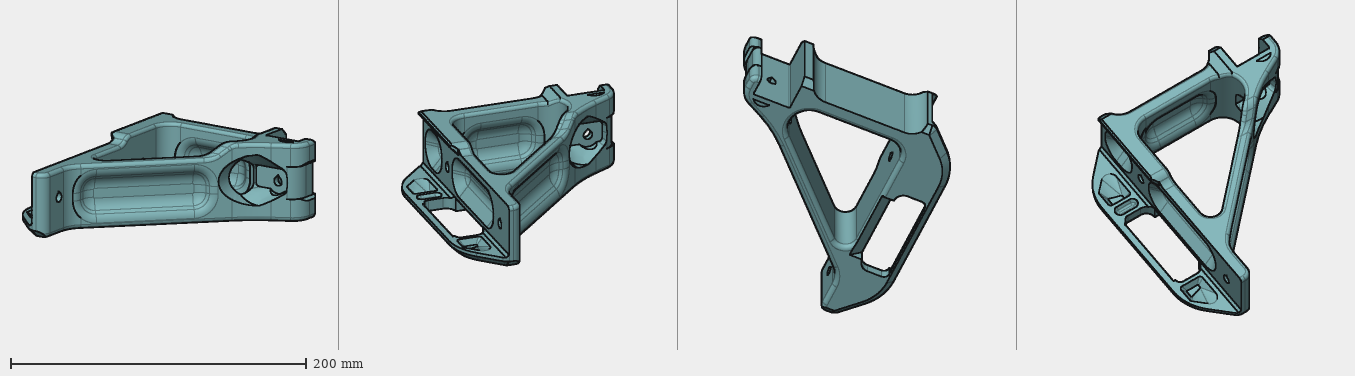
import cadquery as cq
import math

LENGTH = 157.21
DEPTH = 165.1
HEIGHT = 54.86

WALL_X = 28.1
WALL_THICKNESS = 10.0
WALL_END_RADIUS = 7.0
WALL_INNER_X = WALL_X + WALL_THICKNESS
LIP_X = 23.5
LIP_EDGE = 1.2
LIP_END_Y = 97.0
LIP_END_CHAMFER = 4.0
LIP_ROOT_Z = 43.6

LOW_TOP = 45.45
MID_TOP = 50.7
RAMP_RADIUS = 8.8
WALL_RAMP_Y = 90.6
STRUT_RAMP_Y = 97.8
BEAM_RAMP_START = 110.7
BEAM_RAMP_END = 117.7
FRAME_MIDDLE_X = 80.0
CORNER_Y = 125.0

BEAM_INNER_Y = 144.5
BEAM_OUTER_Y = 155.0
STRUT_OUTER_OFFSET = 7.6
STRUT_INNER_OFFSET = -4.8
STRUT_FOOT_RADIUS = 18.0
STRUT_HOOK_RADIUS = 89.0
OPENING_FOOT_RADIUS = 8.1
OPENING_HOOK_RADIUS = 15.0
OPENING_WALL_RADIUS = 12.0
HOOK_EAR_LEFT = 116.4
HOOK_EAR_RADIUS = 1.5
WALL_EAR_RIGHT = 31.5
EAR_SPREAD = 3.4
EAR_FOOT_RADIUS = 13.5

NOTCH_LEFT = 123.2
NOTCH_RIGHT = 150.2
NOTCH_FLOOR_Y = 140.7
NOTCH_RADIUS = 0.6
HOOK_TIP_RADIUS = 4.8
HOOK_TOP_Y = 154.0
HOOK_SLOPE = math.tan(math.radians(28.0))
HOOK_CORNER_Y = 135.2
HOOK_CORNER_RADIUS = 13.6
HOOK_GROOVE_DEPTH = 2.1
HOOK_GROOVE_HEIGHT = 22.8

FLANGE_THICKNESS = 8.0
FLANGE_BEVEL = 5.3
FLANGE_CORNER_RADIUS = 35.0
FLANGE_TIP_X = 25.8
FLANGE_TIP_RADIUS = 5.5
FLANGE_OVERLAP = 2.0
FLANGE_FILLET_LEG = 2.0

INNER_EDGE_RADIUS = 2.4
OUTER_EDGE_RADIUS = 2.8
END_BEVEL = 5.0
BEAM_EDGE_RADIUS = 1.6
BOTTOM_EDGE_RADIUS = 3.4

TOUCH_MARGIN = 0.5
TOUCH_TOLERANCE = 1e-4

CUT_MARGIN = 1.0

CUTTER_RISE = 6.0
WALL_POCKETS = ((69.8, 79.0), (145.0, 31.7))
WALL_POCKET_WIDTH = 28.0
WALL_POCKET_Z = 26.7
BEAM_POCKET_LENGTH = 62.0
BEAM_POCKET_X = 77.0
STRUT_POCKET_LENGTH = 100.0
STRUT_POCKET_X = 74.9
FRAME_POCKET_WIDTH = 37.8
STRUT_POCKET_Z = 22.9
BEAM_POCKET_Z = 23.8

ACCESS_FLOOR_Y = 136.0
ACCESS_ENTRY = 40.0
ACCESS_FLOOR_LENGTH = 28.2
ACCESS_FLOOR_HEIGHT = 15.0
ACCESS_FLOOR_RADIUS = 2.5
ACCESS_FLOOR_X = 132.6
ACCESS_FLOOR_Z = 27.1
ACCESS_MOUTH_Y = 121.0
ACCESS_MOUTH_X = 130.6
ACCESS_MOUTH_Z = 28.8
ACCESS_MOUTH_LENGTH = 40.2
ACCESS_MOUTH_HEIGHT = 35.6
SCREW_HEAD_RADIUS = 8.6

SLOT_LEFT = 6.6
SLOT_LEAN = 1.5
SLOT_CORNER = 4.0
SLOT_WALL_CORNER = 7.0
SLOT_START = 43.2
SLOT_END = 109.1
UNDERCUT_TOP = 9.4
UNDERCUT_START = SLOT_START + SLOT_WALL_CORNER
UNDERCUT_END = SLOT_END - SLOT_WALL_CORNER
FLANGE_POCKET_LEFT = 5.1
FLANGE_POCKET_RIGHT = 22.8
FLANGE_POCKET_DEPTH = 4.5
FLANGE_POCKET_INSET = 4.1
POINTED_POCKET_CORNER = 2.0
POINTED_POCKET_TIP = 5.5
FLOOR_CORNER = 0.5
FLOOR_START = 2.5
FLOOR_RIGHT_SIDE = 3.0
FLOOR_LEFT_SIDE = 6.0
POINTED_POCKET_SIDE = 13.3
POINTED_POCKETS = ((122.2, 1), (40.3, -1))
SMALL_POCKET_Y = 115.6
SMALL_POCKET_WIDTH = 7.6

INSERT_RADIUS = 7.2
INSERT_X = 142.6
INSERT_CENTRE_Y = 141.1
INSERT_FLAT_Y = 137.0
INSERT_DEPTH = 3.0

HOLE_RADIUS = 3.1
HOLE_Z = 25.6
WALL_HOLE_YS = (17.7, 118.7)
HOOK_HOLE_X = 136.5


def rounded_outline(corners):
    """Closed wire through (x, y, radius) corners, each corner rounded by a tangent arc."""
    count = len(corners)
    stops = []
    for i in range(count):
        x, y, radius = corners[i]
        corner = cq.Vector(x, y)
        to_last = (cq.Vector(*corners[i - 1][:2]) - corner).normalized()
        to_next = (cq.Vector(*corners[(i + 1) % count][:2]) - corner).normalized()
        half_angle = to_last.getAngle(to_next) / 2
        if radius == 0:
            stops.append((corner, None, corner))
            continue
        setback = radius / math.tan(half_angle)
        bisector = (to_last + to_next).normalized()
        middle = corner + bisector * (radius / math.sin(half_angle) - radius)
        stops.append((corner + to_last * setback, middle, corner + to_next * setback))
    sketch = cq.Workplane("XY").moveTo(*stops[0][2].toTuple()[:2])
    for start, middle, end in stops[1:] + stops[:1]:
        sketch = sketch.lineTo(*start.toTuple()[:2])
        if middle is not None:
            sketch = sketch.threePointArc(middle.toTuple()[:2], end.toTuple()[:2])
    return sketch.wire()


def box(x0, x1, y0, y1, z0, z1):
    """Box between two opposite corners."""
    return cq.Workplane("XY").box(x1 - x0, y1 - y0, z1 - z0, centered=False).translate((x0, y0, z0))


def dished_pocket(length, width, corner_radius, slope, floor_radius, mouth_radius, depth):
    """Pocket cutter below z = 0, long in X, with sloped walls, a round floor edge and a round mouth."""
    sine = math.sin(math.radians(slope))
    cosine = math.cos(math.radians(slope))
    mouth_run = mouth_radius * sine
    mouth_drop = mouth_radius * (1 - cosine)
    floor_run = floor_radius * sine
    floor_drop = floor_radius * (1 - cosine)
    wall_drop = depth - mouth_drop - floor_drop
    wall_run = wall_drop * cosine / sine
    half_sine = math.sin(math.radians(slope / 2))
    half_cosine = math.cos(math.radians(slope / 2))

    def section(reach):
        """Half section from the centre line out to the mouth, `reach` + corner radius wide."""
        edge = reach + corner_radius
        wall_top = edge - mouth_run
        wall_bottom = wall_top - wall_run
        floor_edge = wall_bottom - floor_run
        sketch = cq.Workplane("XZ").moveTo(0, CUTTER_RISE).lineTo(edge, CUTTER_RISE).lineTo(edge, 0)
        if mouth_radius > 0:
            sketch = sketch.threePointArc(
                (edge - mouth_radius * half_sine, -mouth_radius * (1 - half_cosine)),
                (wall_top, -mouth_drop),
            )
        sketch = sketch.lineTo(wall_bottom, -mouth_drop - wall_drop)
        sketch = sketch.threePointArc(
            (floor_edge + floor_radius * half_sine, -depth + floor_radius * (1 - half_cosine)),
            (floor_edge, -depth),
        )
        return sketch.lineTo(0, -depth).close()

    x_reach = length / 2 - corner_radius
    y_reach = width / 2 - corner_radius
    bowl = section(0).revolve(360, (0, 0), (0, 1))
    cutter = None
    for x_sign in (-1, 1):
        for y_sign in (-1, 1):
            corner = bowl.translate((x_sign * x_reach, y_sign * y_reach, 0))
            cutter = corner if cutter is None else cutter.union(corner)
    if y_reach > 0:
        side = section(x_reach).extrude(y_reach, both=True)
        cutter = cutter.union(side).union(side.mirror("YZ"))
    if x_reach > 0:
        side = section(y_reach).extrude(x_reach, both=True).rotate((0, 0, 0), (0, 0, 1), 90)
        cutter = cutter.union(side).union(side.mirror("XZ"))
    return cutter


def frame_plan(right=LENGTH):
    """Outline of the frame, with the outer side of the hook at `right`."""
    strut_hook_x = (HOOK_CORNER_Y - HOOK_SLOPE * LENGTH + STRUT_OUTER_OFFSET) / (1 - HOOK_SLOPE)
    hook_corner_y = HOOK_CORNER_Y - HOOK_SLOPE * (LENGTH - right)
    return rounded_outline([
        (WALL_X, 0, 0),
        (WALL_INNER_X, 0, WALL_END_RADIUS),
        (WALL_INNER_X, WALL_INNER_X - STRUT_OUTER_OFFSET, STRUT_FOOT_RADIUS),
        (strut_hook_x, strut_hook_x - STRUT_OUTER_OFFSET, STRUT_HOOK_RADIUS),
        (right, hook_corner_y, HOOK_CORNER_RADIUS),
        (right, HOOK_TOP_Y, HOOK_TIP_RADIUS),
        (NOTCH_RIGHT, HOOK_TOP_Y, 0),
        (NOTCH_RIGHT, NOTCH_FLOOR_Y, NOTCH_RADIUS),
        (NOTCH_LEFT, NOTCH_FLOOR_Y, NOTCH_RADIUS),
        (NOTCH_LEFT, DEPTH, 0),
        (HOOK_EAR_LEFT, DEPTH, HOOK_EAR_RADIUS),
        (HOOK_EAR_LEFT - EAR_SPREAD, BEAM_OUTER_Y, EAR_FOOT_RADIUS),
        (WALL_EAR_RIGHT + EAR_SPREAD, BEAM_OUTER_Y, EAR_FOOT_RADIUS),
        (WALL_EAR_RIGHT, DEPTH, 0),
        (WALL_X, DEPTH, 0),
    ])


def opening_plan():
    return rounded_outline([
        (WALL_INNER_X, WALL_INNER_X - STRUT_INNER_OFFSET, OPENING_FOOT_RADIUS),
        (BEAM_INNER_Y + STRUT_INNER_OFFSET, BEAM_INNER_Y, OPENING_HOOK_RADIUS),
        (WALL_INNER_X, BEAM_INNER_Y, OPENING_WALL_RADIUS),
    ])


def ramp_cutter(start_y, low, high, x0, x1):
    """Removes what lies above a smooth 45 degree ramp that rises along Y from `low` to `high`."""
    step = RAMP_RADIUS * math.sqrt(0.5)
    drop = RAMP_RADIUS - step
    half_step = RAMP_RADIUS * math.sin(math.pi / 8)
    half_drop = RAMP_RADIUS * (1 - math.cos(math.pi / 8))
    straight = high - low - 2 * drop
    end_y = start_y + 2 * step + straight
    above = HEIGHT + CUTTER_RISE
    return (
        cq.Workplane("YZ").workplane(offset=x0)
        .moveTo(-CUTTER_RISE, above).lineTo(-CUTTER_RISE, low).lineTo(start_y, low)
        .threePointArc((start_y + half_step, low + half_drop), (start_y + step, low + drop))
        .lineTo(end_y - step, high - drop)
        .threePointArc((end_y - half_step, high - half_drop), (end_y, high))
        .lineTo(DEPTH + CUTTER_RISE, high).lineTo(DEPTH + CUTTER_RISE, above).close()
        .extrude(x1 - x0)
    )


def beam_ramp_cutter():
    """Lowers the beam and slopes its top up to the hook."""
    above = HEIGHT + CUTTER_RISE
    return (
        cq.Workplane("XZ").workplane(offset=-DEPTH - CUTTER_RISE)
        .moveTo(FRAME_MIDDLE_X, MID_TOP).lineTo(BEAM_RAMP_START, MID_TOP)
        .lineTo(BEAM_RAMP_END, HEIGHT).lineTo(BEAM_RAMP_END, above)
        .lineTo(FRAME_MIDDLE_X, above).close()
        .extrude(DEPTH + CUTTER_RISE - CORNER_Y)
    )


def touching(workplane, solid, low, high):
    """Edges of the workplane between two levels that lie on the solid and are not vertical."""
    def wanted(edge):
        middle = edge.positionAt(0.5)
        upright = abs(edge.tangentAt(0.5).z) > 0.99
        on_solid = solid.distance(cq.Vertex.makeVertex(*middle.toTuple())) < TOUCH_TOLERANCE
        return on_solid and not upright and low <= middle.z <= high

    return workplane.edges().filter(wanted)


def strut_side_space():
    """Empty space beside the frame, from the wall end along the strut and around the hook."""
    margin = 20
    space = box(WALL_X + TOUCH_MARGIN, LENGTH + margin, -margin, HOOK_TOP_Y - HOOK_TIP_RADIUS, 0, HEIGHT)
    space = space.cut(box(0, NOTCH_RIGHT, NOTCH_FLOOR_Y - TOUCH_MARGIN, DEPTH, 0, HEIGHT))
    return space.cut(frame_plan().extrude(HEIGHT)).cut(opening_plan().extrude(HEIGHT))


def beam_side_space():
    """Empty space behind the beam, between the two ears."""
    space = box(WALL_INNER_X, HOOK_EAR_LEFT - EAR_SPREAD, BEAM_OUTER_Y - TOUCH_MARGIN, DEPTH, 0, HEIGHT)
    return space.cut(frame_plan().extrude(HEIGHT))


def make_frame():
    opening = opening_plan().extrude(HEIGHT)
    frame = frame_plan().extrude(HEIGHT).cut(opening)
    frame = frame.cut(ramp_cutter(WALL_RAMP_Y, LOW_TOP, MID_TOP, 0, FRAME_MIDDLE_X))
    frame = frame.cut(ramp_cutter(STRUT_RAMP_Y, LOW_TOP, HEIGHT, FRAME_MIDDLE_X, LENGTH))
    frame = frame.cut(beam_ramp_cutter())
    frame = touching(frame, opening.val(), LOW_TOP, HEIGHT).fillet(INNER_EDGE_RADIUS)
    strut_side = strut_side_space().val()
    frame = touching(frame, strut_side, LOW_TOP, HEIGHT).fillet(OUTER_EDGE_RADIUS)
    frame = touching(frame, strut_side, 0, 0).fillet(BOTTOM_EDGE_RADIUS)
    frame = touching(frame, opening.val(), 0, 0).fillet(BOTTOM_EDGE_RADIUS)
    return touching(frame, beam_side_space().val(), LOW_TOP, HEIGHT).fillet(BEAM_EDGE_RADIUS)


def flange_plan():
    inner_x = WALL_X + FLANGE_OVERLAP
    left_corner = FLANGE_TIP_X
    return rounded_outline([
        (0, left_corner, FLANGE_CORNER_RADIUS),
        (FLANGE_TIP_X, 0, FLANGE_TIP_RADIUS),
        (inner_x, 0, 0),
        (inner_x, DEPTH, 0),
        (FLANGE_TIP_X, DEPTH, FLANGE_TIP_RADIUS),
        (0, DEPTH - left_corner, FLANGE_CORNER_RADIUS),
    ])


def pointed_pocket(start_y, direction):
    """Pocket with a rounded 45 degree point, whose bottom ramps up from a small floor to the point."""
    side_y = start_y + direction * POINTED_POCKET_SIDE
    tip_y = side_y + direction * (FLANGE_POCKET_RIGHT - FLANGE_POCKET_LEFT)
    floor_left = FLANGE_POCKET_LEFT + FLANGE_POCKET_INSET
    floor_right = FLANGE_POCKET_RIGHT - FLANGE_POCKET_INSET
    floor_start = start_y + direction * FLOOR_START
    mouth = rounded_outline([
        (FLANGE_POCKET_LEFT, start_y, POINTED_POCKET_CORNER),
        (FLANGE_POCKET_RIGHT, start_y, POINTED_POCKET_CORNER),
        (FLANGE_POCKET_RIGHT, tip_y, POINTED_POCKET_TIP),
        (FLANGE_POCKET_LEFT, side_y, POINTED_POCKET_CORNER),
    ])
    floor = rounded_outline([
        (floor_left, floor_start, FLOOR_CORNER),
        (floor_right, floor_start, FLOOR_CORNER),
        (floor_right, floor_start + direction * FLOOR_RIGHT_SIDE, FLOOR_CORNER),
        (floor_left, floor_start + direction * FLOOR_LEFT_SIDE, FLOOR_CORNER),
    ])
    floor_wire = floor.val().translate(cq.Vector(0, 0, FLANGE_THICKNESS - FLANGE_POCKET_DEPTH))
    mouth_wire = mouth.val().translate(cq.Vector(0, 0, FLANGE_THICKNESS))
    return cq.Workplane(cq.Solid.makeLoft([floor_wire, mouth_wire], True))


def small_pocket():
    length = FLANGE_POCKET_RIGHT - FLANGE_POCKET_LEFT
    cutter = dished_pocket(
        length, SMALL_POCKET_WIDTH, corner_radius=3.7, slope=55, floor_radius=2, mouth_radius=0, depth=2.8
    )
    return cutter.translate((FLANGE_POCKET_LEFT + length / 2, SMALL_POCKET_Y, FLANGE_THICKNESS))


def slot_cutter():
    """Slot between the flange rim and the wall, with a leaning rim side."""
    slot = rounded_outline([
        (SLOT_LEFT, SLOT_START, SLOT_CORNER),
        (WALL_X, SLOT_START, SLOT_WALL_CORNER),
        (WALL_X, SLOT_END, SLOT_WALL_CORNER),
        (SLOT_LEFT, SLOT_END, SLOT_CORNER),
    ]).extrude(FLANGE_THICKNESS + FLANGE_FILLET_LEG)
    lean = (
        cq.Workplane("XZ").workplane(offset=SLOT_CORNER - SLOT_END)
        .moveTo(SLOT_LEFT, 0).lineTo(SLOT_LEFT + CUT_MARGIN, 0).lineTo(SLOT_LEFT + CUT_MARGIN, FLANGE_THICKNESS)
        .lineTo(SLOT_LEFT - SLOT_LEAN, FLANGE_THICKNESS).close()
        .extrude(SLOT_END - SLOT_START - 2 * SLOT_CORNER)
    )
    return slot.union(lean)


def make_flange():
    flange = flange_plan().extrude(FLANGE_THICKNESS)
    flange = flange.faces("<Z").edges("not >X").chamfer(FLANGE_BEVEL)
    corner = (
        cq.Workplane("XZ").workplane(offset=-DEPTH)
        .moveTo(WALL_X, FLANGE_THICKNESS)
        .lineTo(WALL_X - FLANGE_FILLET_LEG, FLANGE_THICKNESS)
        .lineTo(WALL_X, FLANGE_THICKNESS + FLANGE_FILLET_LEG).close()
        .extrude(DEPTH)
    )
    flange = flange.union(corner.intersect(flange_plan().extrude(HEIGHT)))
    for start_y, direction in POINTED_POCKETS:
        flange = flange.cut(pointed_pocket(start_y, direction))
    return flange.cut(small_pocket()).cut(slot_cutter())


def make_lip():
    reach = WALL_X - LIP_X
    lip = (
        cq.Workplane("XZ").workplane(offset=-DEPTH)
        .moveTo(WALL_X, LIP_ROOT_Z).lineTo(LIP_X, LIP_ROOT_Z + reach).lineTo(LIP_X, MID_TOP - LIP_EDGE)
        .lineTo(LIP_X + LIP_EDGE, MID_TOP).lineTo(WALL_X, MID_TOP).close()
        .extrude(DEPTH - LIP_END_Y)
    )
    end_corner = (
        cq.Workplane("XY").moveTo(LIP_X, LIP_END_Y).lineTo(LIP_X + LIP_END_CHAMFER, LIP_END_Y)
        .lineTo(LIP_X, LIP_END_Y + LIP_END_CHAMFER).close()
        .extrude(HEIGHT)
    )
    lip = lip.cut(end_corner).intersect(flange_plan().extrude(HEIGHT))
    return lip.cut(ramp_cutter(WALL_RAMP_Y, LOW_TOP, MID_TOP, 0, FRAME_MIDDLE_X))


def slot_undercut():
    """Hollows the foot of the wall at 45 degrees above the slot."""
    return (
        cq.Workplane("XZ").workplane(offset=-UNDERCUT_END)
        .moveTo(WALL_X - CUT_MARGIN, 0).lineTo(WALL_X - CUT_MARGIN, UNDERCUT_TOP).lineTo(WALL_X, UNDERCUT_TOP)
        .lineTo(WALL_X + UNDERCUT_TOP, 0).close()
        .extrude(UNDERCUT_END - UNDERCUT_START)
    )


def wall_pocket(centre_y, length):
    cutter = dished_pocket(
        length, WALL_POCKET_WIDTH, corner_radius=13, slope=40, floor_radius=8, mouth_radius=0, depth=8.2
    )
    cutter = cutter.rotate((0, 0, 0), (0, 0, 1), 90).rotate((0, 0, 0), (0, 1, 0), -90)
    return cutter.translate((WALL_X, centre_y, WALL_POCKET_Z))


def frame_pocket(length):
    """Round-mouthed pocket cutter that opens towards -Y."""
    cutter = dished_pocket(
        length, FRAME_POCKET_WIDTH, corner_radius=16.2, slope=45, floor_radius=11, mouth_radius=8, depth=7.6
    )
    return cutter.rotate((0, 0, 0), (1, 0, 0), 90)


def beam_pocket():
    return frame_pocket(BEAM_POCKET_LENGTH).translate((BEAM_POCKET_X, BEAM_INNER_Y, BEAM_POCKET_Z))


def strut_pocket():
    cutter = frame_pocket(STRUT_POCKET_LENGTH).rotate((0, 0, 0), (0, 0, 1), 45)
    return cutter.translate((STRUT_POCKET_X, STRUT_POCKET_X - STRUT_OUTER_OFFSET, STRUT_POCKET_Z))


def teardrop(length):
    """Hole cutter along +X whose roof comes to a point at the top."""
    side = HOLE_RADIUS * math.sqrt(0.5)
    round_part = cq.Workplane("YZ").circle(HOLE_RADIUS).extrude(length)
    roof = (
        cq.Workplane("YZ").moveTo(-side, side).lineTo(0, 0).lineTo(side, side)
        .lineTo(0, 2 * side).close()
        .extrude(length)
    )
    return round_part.union(roof)


def access_pocket():
    """Screw access in the hook: a flat floor that widens to an oval mouth."""
    floor = cq.Sketch().rect(ACCESS_FLOOR_LENGTH, ACCESS_FLOOR_HEIGHT).vertices().fillet(ACCESS_FLOOR_RADIUS)
    mouth = cq.Sketch().ellipse(ACCESS_MOUTH_LENGTH / 2, ACCESS_MOUTH_HEIGHT / 2)
    floor_place = cq.Location(cq.Vector(ACCESS_FLOOR_X, ACCESS_FLOOR_Z, -ACCESS_FLOOR_Y))
    mouth_place = cq.Location(cq.Vector(ACCESS_MOUTH_X, ACCESS_MOUTH_Z, -ACCESS_MOUTH_Y))
    funnel = cq.Workplane("XZ").placeSketch(floor.moved(floor_place), mouth.moved(mouth_place)).loft()
    entry = cq.Workplane("XZ").placeSketch(mouth.moved(mouth_place)).extrude(ACCESS_ENTRY)
    screw_head = (
        cq.Workplane("XZ", origin=(HOOK_HOLE_X, ACCESS_FLOOR_Y, HOLE_Z))
        .circle(SCREW_HEAD_RADIUS).extrude(ACCESS_FLOOR_Y - ACCESS_MOUTH_Y)
    )
    return funnel.union(entry).union(screw_head)


def hook_groove():
    """Shallow band around the outside of the hook, with sloped ends."""
    half = HOOK_GROOVE_HEIGHT / 2
    middle = HEIGHT / 2
    floor_x = LENGTH - HOOK_GROOVE_DEPTH
    outside = 2 * HOOK_GROOVE_DEPTH
    band = (
        cq.Workplane("XZ").workplane(offset=-HOOK_TOP_Y)
        .moveTo(HOOK_HOLE_X, middle - half).lineTo(floor_x, middle - half)
        .lineTo(floor_x + outside, middle - half - outside)
        .lineTo(floor_x + outside, middle + half + outside)
        .lineTo(floor_x, middle + half).lineTo(HOOK_HOLE_X, middle + half).close()
        .extrude(HOOK_TOP_Y - CORNER_Y)
    )
    return band.cut(frame_plan(floor_x).extrude(HEIGHT))


def end_bevel(x0, x1, end_y, end_z, y_side, z_side):
    """45 degree wedge that bevels the edge along X at (end_y, end_z)."""
    return (
        cq.Workplane("YZ").workplane(offset=x0)
        .moveTo(end_y, end_z).lineTo(end_y - y_side * END_BEVEL, end_z)
        .lineTo(end_y, end_z - z_side * END_BEVEL).close()
        .extrude(x1 - x0)
    )


def make_bracket():
    bracket = make_frame().union(make_flange()).union(make_lip())
    for centre_y, length in WALL_POCKETS:
        bracket = bracket.cut(wall_pocket(centre_y, length))
    bracket = bracket.cut(slot_undercut())
    bracket = bracket.cut(beam_pocket()).cut(strut_pocket())
    bracket = bracket.cut(access_pocket()).cut(hook_groove())
    for hole_y in WALL_HOLE_YS:
        bracket = bracket.cut(teardrop(2 * WALL_THICKNESS).translate((WALL_X - CUT_MARGIN, hole_y, HOLE_Z)))
    hook_hole = teardrop(2 * WALL_THICKNESS).rotate((0, 0, 0), (0, 0, 1), 90)
    bracket = bracket.cut(hook_hole.translate((HOOK_HOLE_X, ACCESS_FLOOR_Y - CUT_MARGIN, HOLE_Z)))
    bracket = bracket.cut(end_bevel(0, LENGTH, DEPTH, 0, 1, -1))
    bracket = bracket.cut(end_bevel(0, LENGTH, 0, 0, -1, -1))
    bracket = bracket.cut(end_bevel(FRAME_MIDDLE_X, NOTCH_RIGHT, DEPTH, HEIGHT, 1, 1))
    bracket = bracket.cut(end_bevel(NOTCH_RIGHT, LENGTH, HOOK_TOP_Y, HEIGHT, 1, 1))
    return bracket.cut(end_bevel(0, FRAME_MIDDLE_X, DEPTH, MID_TOP, 1, 1))


def make_insert(base_z):
    disc = cq.Workplane("XY").center(INSERT_X, INSERT_CENTRE_Y).circle(INSERT_RADIUS).extrude(INSERT_DEPTH)
    far_side = box(0, LENGTH, INSERT_FLAT_Y, DEPTH, 0, INSERT_DEPTH)
    return disc.cut(far_side).translate((0, 0, base_z))


bracket = make_bracket()
inserts = []
for base_z in (HEIGHT - INSERT_DEPTH, 0):
    insert = make_insert(base_z)
    bracket = bracket.cut(insert)
    inserts.append(insert.val())

result = cq.Compound.makeCompound([bracket.val(), *inserts])